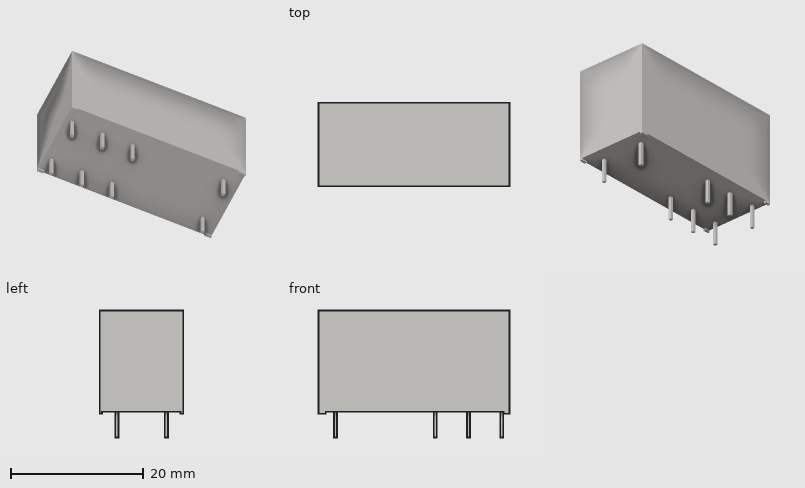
import cadquery as cq

length = 29.0
width = 12.71
total_height = 19.3
pin_drop = 3.6
housing_height = total_height - pin_drop

foot_height = 0.32
foot_length_left = 1.15
foot_length_right = 0.93
foot_width_front = 0.45
foot_width_back = 0.4

pin_size = 0.5
pin_pitch = 5.04
coil_to_contact = 3 * pin_pitch
contact_columns = 3
row_spacing = 7.5
first_pin_offset = 2.6
front_row_offset = 2.585

left_end = -length / 2
front_side = -width / 2
coil_pin_x = left_end + first_pin_offset
contact_pin_x = coil_pin_x + coil_to_contact
pin_columns = [coil_pin_x] + [contact_pin_x + i * pin_pitch for i in range(contact_columns)]
front_row_y = front_side + front_row_offset
pin_rows = [front_row_y, front_row_y + row_spacing]


def make_channel(x_start, x_size, y_start, y_size):
    """Shallow channel in the underside, as deep as the feet are high."""
    return cq.Workplane("XY").box(x_size, y_size, foot_height, centered=False).translate((x_start, y_start, 0))


def make_housing():
    """Plain box with two crossing channels that leave four corner feet."""
    housing = cq.Workplane("XY").box(length, width, housing_height, centered=(True, True, False))
    long_gap = length - foot_length_left - foot_length_right
    cross_gap = width - foot_width_front - foot_width_back
    channel_along_y = make_channel(left_end + foot_length_left, long_gap, front_side, width)
    channel_along_x = make_channel(left_end, length, front_side + foot_width_front, cross_gap)
    return housing.cut(channel_along_y).cut(channel_along_x)


def make_pins():
    """Square pins running from the recessed underside down past the feet."""
    return (
        cq.Workplane("XY")
        .workplane(offset=-pin_drop)
        .pushPoints([(x, y) for x in pin_columns for y in pin_rows])
        .rect(pin_size, pin_size)
        .extrude(pin_drop + foot_height)
    )


result = make_housing().union(make_pins())